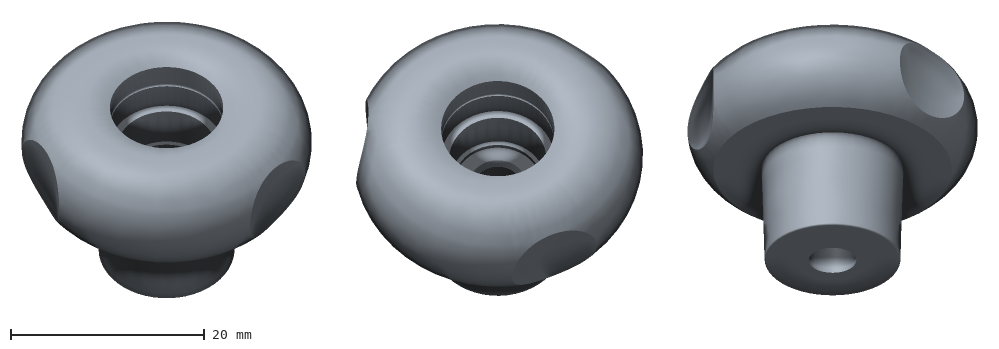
import cadquery as cq
import math

total_height = 21.98
head_radius = 15.0
stem_height = total_height / 2

section_radius = 6.0
section_center_r = head_radius - section_radius
section_center_z = total_height - section_radius

stem_top_radius = 7.35
stem_bottom_radius = 7.02
stem_edge_fillet = 0.18

scallop_count = 3
scallop_radius = 16.5
scallop_center_r = 30.0
first_scallop_angle = -90.0

mouth_radius = 11.7 / 2
mouth_floor_z = 15.38
upper_bore_top_radius = 5.0
upper_bore_bottom_radius = 4.95
upper_bore_floor_z = 11.0
recess_radius = 9.0 / 2
recess_depth = 0.5
through_radius = 4.92 / 2
countersink_radius = 2.95
countersink_depth = countersink_radius - through_radius

groove_top_z = 18.6
groove_width = 0.33
groove_depth = 0.4


def section_offset(z):
    """Horizontal distance from the ring section's center to its edge at height z."""
    return math.sqrt(section_radius**2 - (z - section_center_z) ** 2)


def make_body():
    """Solid of revolution for the head and stem; the inner side of the ring is left dished."""
    rim_z = section_center_z + math.sqrt(section_radius**2 - (section_center_r - mouth_radius) ** 2)
    under_r = section_center_r + section_offset(stem_height)
    profile = (
        cq.Workplane("XZ")
        .lineTo(stem_bottom_radius, 0)
        .lineTo(stem_top_radius, stem_height)
        .lineTo(under_r, stem_height)
        .threePointArc((section_center_r, total_height), (mouth_radius, rim_z))
        .lineTo(0, rim_z)
        .close()
    )
    body = profile.revolve(360, (0, 0, 0), (0, 1, 0))
    return body.faces("<Z").edges().fillet(stem_edge_fillet)


def make_bore():
    """Material removed along the axis: mouth, tapered bore, recess, countersink and hole."""
    recess_floor_z = upper_bore_floor_z - recess_depth
    outline = [
        (0, 0),
        (through_radius, 0),
        (through_radius, recess_floor_z - countersink_depth),
        (countersink_radius, recess_floor_z),
        (recess_radius, recess_floor_z),
        (recess_radius, upper_bore_floor_z),
        (upper_bore_bottom_radius, upper_bore_floor_z),
        (upper_bore_top_radius, mouth_floor_z),
        (mouth_radius, mouth_floor_z),
        (mouth_radius, total_height),
        (0, total_height),
    ]
    return cq.Workplane("XZ").polyline(outline).close().revolve(360, (0, 0, 0), (0, 1, 0))


def make_groove():
    """Disc that cuts the retaining groove around the mouth."""
    groove_bottom_z = groove_top_z - groove_width
    plane = cq.Workplane("XY").workplane(offset=groove_bottom_z)
    return plane.circle(mouth_radius + groove_depth).extrude(groove_width)


def make_scallops():
    """Upright cylinders spaced evenly around the head."""
    return (
        cq.Workplane("XY")
        .polarArray(scallop_center_r, first_scallop_angle, 360, scallop_count)
        .circle(scallop_radius)
        .extrude(total_height)
    )


result = make_body().cut(make_bore()).cut(make_groove()).cut(make_scallops())